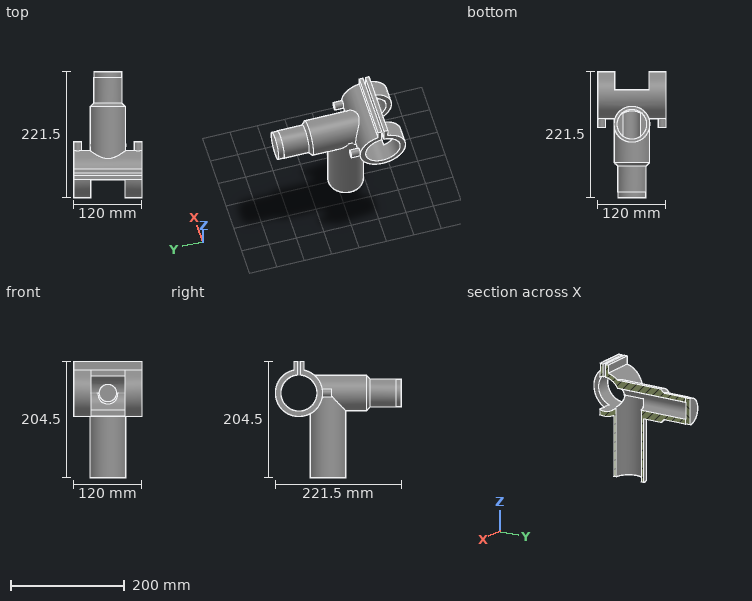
import cadquery as cq
import math

clamp_width = 120.0
clamp_outer_radius = 41.5
clamp_bore_radius = 31.5
ear_half_span = 9.0
ear_height = 15.0
slot_width = 4.0
window_width = 60.0
window_back_y = -10.0

pin_diameter = 14.0
pin_end_y = 57.0

arm_radius = 31.25
arm_end_y = 118.5
spigot_radius = 25.0
spigot_end_y = 170.0
arm_bore_radius = 15.25
cone_length = 6.0

leg_y = 51.0
leg_radius = 31.5
leg_bore_radius = 26.0
leg_bottom_z = -149.0

cap_radius = 24.5
cap_thickness = 10.0

ARM_NORMAL = (0, 1, 0)


def y_cylinder(radius, start_y, end_y, x=0.0):
    """Solid cylinder along Y, centred at height Z = 0."""
    plane = cq.Plane(origin=(x, start_y, 0), xDir=(0, 0, 1), normal=ARM_NORMAL)
    return cq.Workplane(plane).circle(radius).extrude(end_y - start_y)


def x_cylinder(radius):
    """Solid cylinder on the X axis, as long as the clamp is wide."""
    return cq.Workplane("YZ").circle(radius).extrude(clamp_width / 2, both=True)


def leg_cylinder(radius):
    """Solid cylinder from the arm axis down to the foot of the leg."""
    return (
        cq.Workplane(cq.Plane(origin=(0, leg_y, 0), xDir=(0, -1, 0), normal=(0, 0, 1)))
        .circle(radius)
        .extrude(leg_bottom_z)
    )


def make_ears():
    """Block standing on the ring; the slot later splits it into two ears."""
    ear_top_z = math.sqrt(clamp_outer_radius**2 - ear_half_span**2) + ear_height
    return cq.Workplane("XY").box(
        clamp_width, 2 * ear_half_span, ear_top_z, centered=(True, True, False)
    )


def make_slot():
    """Slot through the top of the ring and between the ears."""
    slot_height = clamp_outer_radius + ear_height
    return cq.Workplane("XY").box(
        clamp_width, slot_width, slot_height, centered=(True, True, False)
    )


def make_window():
    """Opening in the front of the ring, with a flat back at window_back_y."""
    depth = clamp_outer_radius + window_back_y
    return cq.Workplane("XY").box(
        window_width, depth, 2 * clamp_outer_radius
    ).translate((0, window_back_y - depth / 2, 0))


def make_arm():
    """Arm, conical step and spigot, turned about the Y axis."""
    return (
        cq.Workplane("YZ")
        .moveTo(0, 0)
        .lineTo(0, arm_radius)
        .lineTo(arm_end_y, arm_radius)
        .lineTo(arm_end_y + cone_length, spigot_radius)
        .lineTo(spigot_end_y, spigot_radius)
        .lineTo(spigot_end_y, 0)
        .close()
        .revolve(360, (0, 0, 0), (1, 0, 0))
    )


def make_housing():
    """Clamp, pins, arm and leg as one body."""
    body = x_cylinder(clamp_outer_radius).union(make_ears())
    body = body.union(make_arm()).union(leg_cylinder(leg_radius))
    pin_x = (clamp_width - pin_diameter) / 2
    for x in (-pin_x, pin_x):
        body = body.union(y_cylinder(pin_diameter / 2, 0, pin_end_y, x))
    body = body.cut(x_cylinder(clamp_bore_radius))
    body = body.cut(make_slot()).cut(make_window())
    body = body.cut(leg_cylinder(leg_bore_radius))
    return body.cut(y_cylinder(arm_bore_radius, 0, spigot_end_y))


def make_end_cap():
    """Plain disc seated on the end of the spigot."""
    return y_cylinder(cap_radius, spigot_end_y, spigot_end_y + cap_thickness)


housing = make_housing()
end_cap = make_end_cap()

result = cq.Compound.makeCompound([housing.val(), end_cap.val()])